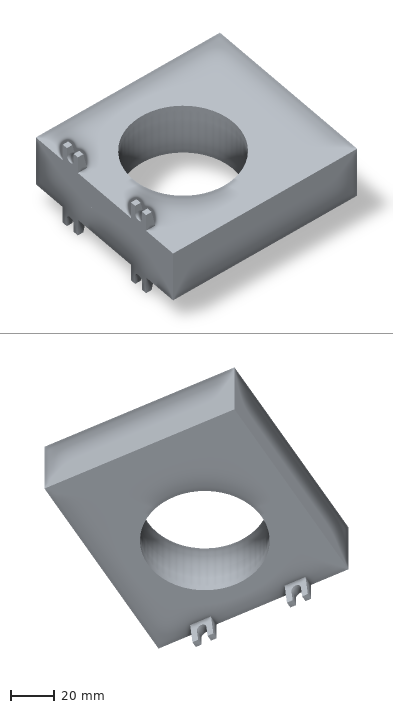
import cadquery as cq

PLATE_WIDTH = 100.0
PLATE_LENGTH = 110.0
OVERALL_HEIGHT = 50.0
LUG_HEIGHT = 10.0
HALF_THICKNESS = OVERALL_HEIGHT / 2 - LUG_HEIGHT

BORE_DIAMETER = 60.0
BORE_FROM_FRONT = 47.0

LUG_WIDTH = 11.0
LUG_PITCH = 49.7
LUG_BASE_DEPTH = 5.5
LUG_TIP_DEPTH = 3.3
SLOT_WIDTH = 5.0
SLOT_DEPTH = 7.5


def make_half_plate(bottom_z):
    """Rectangular plate with the round bore through it."""
    return (
        cq.Workplane("XY", origin=(0, 0, bottom_z))
        .rect(PLATE_WIDTH, PLATE_LENGTH)
        .extrude(HALF_THICKNESS)
        .translate((0, PLATE_LENGTH / 2, 0))
        .cut(make_bore(bottom_z))
    )


def make_bore(bottom_z):
    """Cylinder that passes through one half plate."""
    return (
        cq.Workplane("XY", origin=(0, BORE_FROM_FRONT, bottom_z))
        .circle(BORE_DIAMETER / 2)
        .extrude(HALF_THICKNESS)
    )


def make_slot():
    """Round-bottomed slot, open at the lug tip, running along Y."""
    radius = SLOT_WIDTH / 2
    slot_bottom = LUG_HEIGHT - SLOT_DEPTH
    arc_start = slot_bottom + radius
    return (
        cq.Workplane("XZ")
        .moveTo(-radius, LUG_HEIGHT)
        .lineTo(-radius, arc_start)
        .threePointArc((0, slot_bottom), (radius, arc_start))
        .lineTo(radius, LUG_HEIGHT)
        .close()
        .extrude(-LUG_BASE_DEPTH)
    )


def make_upper_lug(center_x):
    """Lug on the top face, vertical in front and tapered at the back."""
    lug = (
        cq.Workplane("YZ")
        .polyline([(0, 0), (LUG_BASE_DEPTH, 0), (LUG_TIP_DEPTH, LUG_HEIGHT), (0, LUG_HEIGHT)])
        .close()
        .extrude(LUG_WIDTH / 2, both=True)
    )
    return lug.cut(make_slot()).translate((center_x, 0, HALF_THICKNESS))


upper_plate = make_half_plate(0)
lower_plate = make_half_plate(-HALF_THICKNESS)

lugs = []
for lug_x in (-LUG_PITCH / 2, LUG_PITCH / 2):
    upper_lug = make_upper_lug(lug_x)
    lower_lug = upper_lug.mirror("XY")
    lugs.extend([upper_lug.val(), lower_lug.val()])

result = cq.Compound.makeCompound([upper_plate.val(), lower_plate.val(), *lugs])